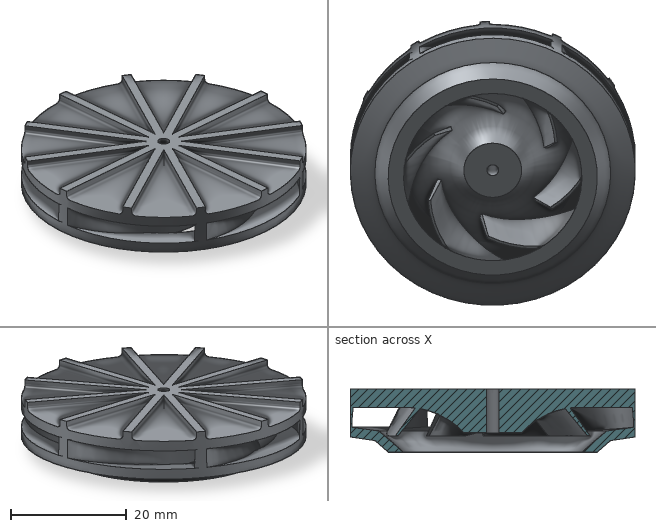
import cadquery as cq
import math

RIM_RADIUS = 24.66
TOTAL_HEIGHT = 11.01
BORE_RADIUS = 1.0
BLANK_RADIUS = RIM_RADIUS + 2.0

RIB_HEIGHT = 1.5
RIB_WIDTH = 1.6
RIB_FOOT_RADIUS = 0.77
FOOT_MIDDLE_ANGLE = math.radians(45)
RIB_BAR_COUNT = 6
PLATE_THICKNESS = 1.75
PLATE_TOP = TOTAL_HEIGHT - RIB_HEIGHT
PLATE_BOTTOM = PLATE_TOP - PLATE_THICKNESS

HUB_FLARE_START_RADIUS = 15.0
HUB_FLARE_ARC_RADIUS = 13.6
HUB_NOSE_RADIUS = 5.0

OUTLET_HEIGHT = 3.35
SHROUD_TOP = PLATE_BOTTOM - OUTLET_HEIGHT
SHROUD_RIM_THICKNESS = 1.78
SHROUD_RIM_BOTTOM = SHROUD_TOP - SHROUD_RIM_THICKNESS
CONE_BREAK_RADIUS = 20.4
CONE_BREAK_Z = 2.0
EYE_OUTER_RADIUS = 18.1
SHROUD_WALL = 1.75

STEEP_ANGLE = math.atan2(CONE_BREAK_Z, CONE_BREAK_RADIUS - EYE_OUTER_RADIUS)
EYE_INNER_RADIUS = EYE_OUTER_RADIUS - SHROUD_WALL / math.sin(STEEP_ANGLE)
INNER_BREAK_Z = CONE_BREAK_Z + SHROUD_WALL
INNER_BREAK_RADIUS = EYE_INNER_RADIUS + INNER_BREAK_Z / math.tan(STEEP_ANGLE)

VANE_COUNT = 6
FIRST_VANE_ANGLE = 30.0
VANE_RIM_WIDTH = 1.9
VANE_INNER_HEADING = 120.0
SHROUD_HEADING = 18.0
PLATE_HEADING = 28.0
SHROUD_ARC_RADIUS = 18.6
PLATE_ARC_RADIUS = 20.2
VANE_RIM_OVERRUN = 3.0
VANE_EMBED = 0.9


def make_back_plate():
    """Plate and hub as one revolved body."""
    def flare_z(radius):
        run = HUB_FLARE_START_RADIUS - radius
        return PLATE_BOTTOM - HUB_FLARE_ARC_RADIUS + math.sqrt(HUB_FLARE_ARC_RADIUS**2 - run**2)

    middle_radius = (HUB_FLARE_START_RADIUS + HUB_NOSE_RADIUS) / 2
    return (
        cq.Workplane("XZ")
        .moveTo(0, PLATE_TOP)
        .lineTo(BLANK_RADIUS, PLATE_TOP)
        .lineTo(BLANK_RADIUS, PLATE_BOTTOM)
        .lineTo(HUB_FLARE_START_RADIUS, PLATE_BOTTOM)
        .threePointArc((middle_radius, flare_z(middle_radius)), (HUB_NOSE_RADIUS, flare_z(HUB_NOSE_RADIUS)))
        .lineTo(0, flare_z(HUB_NOSE_RADIUS))
        .close()
        .revolve(360, (0, 0), (0, 1))
    )


def make_ribs():
    """Bars across the plate, each with concave feet."""
    half_width = RIB_WIDTH / 2
    half_foot = half_width + RIB_FOOT_RADIUS
    foot_top = PLATE_TOP + RIB_FOOT_RADIUS
    arc_middle_x = half_foot - RIB_FOOT_RADIUS * math.cos(FOOT_MIDDLE_ANGLE)
    arc_middle_z = foot_top - RIB_FOOT_RADIUS * math.sin(FOOT_MIDDLE_ANGLE)
    root = PLATE_TOP - PLATE_THICKNESS / 2
    bar = (
        cq.Workplane("XZ")
        .moveTo(-half_foot, root)
        .lineTo(half_foot, root)
        .lineTo(half_foot, PLATE_TOP)
        .threePointArc((arc_middle_x, arc_middle_z), (half_width, foot_top))
        .lineTo(half_width, TOTAL_HEIGHT)
        .lineTo(-half_width, TOTAL_HEIGHT)
        .lineTo(-half_width, foot_top)
        .threePointArc((-arc_middle_x, arc_middle_z), (-half_foot, PLATE_TOP))
        .close()
        .extrude(BLANK_RADIUS, both=True)
    )
    ribs = bar
    for i in range(1, RIB_BAR_COUNT):
        ribs = ribs.union(bar.rotate((0, 0, 0), (0, 0, 1), i * 180 / RIB_BAR_COUNT))
    return ribs


def make_shroud():
    """Conical ring with an open inlet eye."""
    return (
        cq.Workplane("XZ")
        .polyline([
            (EYE_INNER_RADIUS, 0),
            (EYE_OUTER_RADIUS, 0),
            (CONE_BREAK_RADIUS, CONE_BREAK_Z),
            (RIM_RADIUS, SHROUD_RIM_BOTTOM),
            (BLANK_RADIUS, SHROUD_RIM_BOTTOM),
            (BLANK_RADIUS, SHROUD_TOP),
            (RIM_RADIUS, SHROUD_TOP),
            (INNER_BREAK_RADIUS, INNER_BREAK_Z),
        ])
        .close()
        .revolve(360, (0, 0), (0, 1))
    )


def vane_section(workplane, z):
    """Closed outline of a vane at height z, for a vane leaving the rim at -Y."""
    blend = (z - SHROUD_TOP) / OUTLET_HEIGHT
    heading = SHROUD_HEADING + blend * (PLATE_HEADING - SHROUD_HEADING)
    outer_radius = SHROUD_ARC_RADIUS + blend * (PLATE_ARC_RADIUS - SHROUD_ARC_RADIUS)
    inner_radius = outer_radius - VANE_RIM_WIDTH * math.sin(math.radians(heading))
    center_x = VANE_RIM_WIDTH / 2 - outer_radius * math.sin(math.radians(heading))
    center_y = -RIM_RADIUS + outer_radius * math.cos(math.radians(heading))
    start = heading - math.degrees(VANE_RIM_OVERRUN / outer_radius)
    middle = (start + VANE_INNER_HEADING) / 2

    def on_arc(radius, direction):
        angle = math.radians(direction)
        return (center_x + radius * math.sin(angle), center_y - radius * math.cos(angle))

    return (
        workplane
        .moveTo(*on_arc(outer_radius, start))
        .threePointArc(on_arc(outer_radius, middle), on_arc(outer_radius, VANE_INNER_HEADING))
        .lineTo(*on_arc(inner_radius, VANE_INNER_HEADING))
        .threePointArc(on_arc(inner_radius, middle), on_arc(inner_radius, start))
        .close()
    )


def make_vanes():
    """Ring of leaning vanes between the shroud and the back plate."""
    low = INNER_BREAK_Z - VANE_EMBED
    high = PLATE_BOTTOM + VANE_EMBED
    lower = vane_section(cq.Workplane("XY").workplane(offset=low), low)
    vane = vane_section(lower.workplane(offset=high - low), high).loft(ruled=True)
    angles = [FIRST_VANE_ANGLE + i * 360 / VANE_COUNT for i in range(VANE_COUNT)]
    return [vane.rotate((0, 0, 0), (0, 0, 1), angle + 90) for angle in angles]


body = make_back_plate().union(make_ribs()).union(make_shroud())
for vane in make_vanes():
    body = body.union(vane)
rim_with_bore = cq.Workplane("XY").circle(RIM_RADIUS).circle(BORE_RADIUS).extrude(TOTAL_HEIGHT)
result = body.intersect(rim_with_bore)